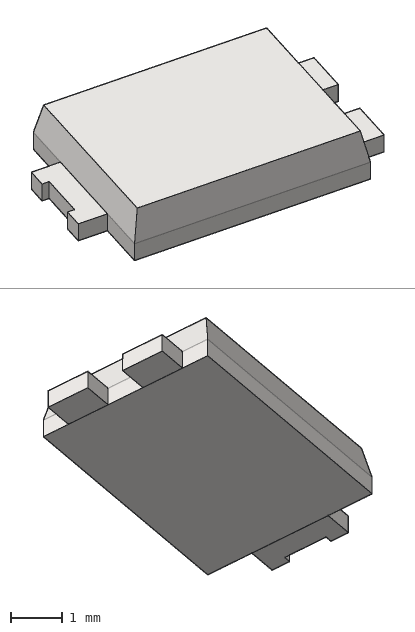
import cadquery as cq

housing_width = 4.05
housing_length = 5.29
housing_height = 1.15
base_height = 0.42
top_width = 3.75
top_length = 5.0

overall_length = 6.6
lead_reach = (overall_length - housing_length) / 2
lead_thickness = base_height
rear_lead_width = 0.98
rear_lead_spacing = 1.835
front_lead_width = 1.88
notch_width = 1.015
notch_depth = 0.16

front_face_y = -housing_length / 2
rear_face_y = housing_length / 2


def make_housing():
    """Rectangular base topped by a frustum that slopes in on all four sides."""
    base = cq.Workplane("XY").rect(housing_width, housing_length).extrude(base_height)
    cap = (
        cq.Workplane("XY", origin=(0, 0, base_height))
        .rect(housing_width, housing_length)
        .workplane(offset=housing_height - base_height)
        .rect(top_width, top_length)
        .loft(ruled=True)
    )
    return base.union(cap)


def make_rear_lead(center_x):
    """Plain rectangular lead on the +Y end."""
    return (
        cq.Workplane("XY", origin=(center_x, rear_face_y, 0))
        .box(rear_lead_width, lead_reach, lead_thickness, centered=(True, False, False))
    )


def make_front_lead():
    """Wide lead on the -Y end, with a notch that leaves a prong at each side."""
    tip_y = front_face_y - lead_reach
    plate = (
        cq.Workplane("XY", origin=(0, tip_y, 0))
        .box(front_lead_width, lead_reach, lead_thickness, centered=(True, False, False))
    )
    notch = (
        cq.Workplane("XY", origin=(0, tip_y, 0))
        .box(notch_width, notch_depth, lead_thickness, centered=(True, False, False))
    )
    return plate.cut(notch)


housing = make_housing()
front_lead = make_front_lead()
rear_leads = [make_rear_lead(side * rear_lead_spacing / 2) for side in (-1, 1)]

result = cq.Compound.makeCompound(
    [housing.val(), front_lead.val(), *[lead.val() for lead in rear_leads]]
)